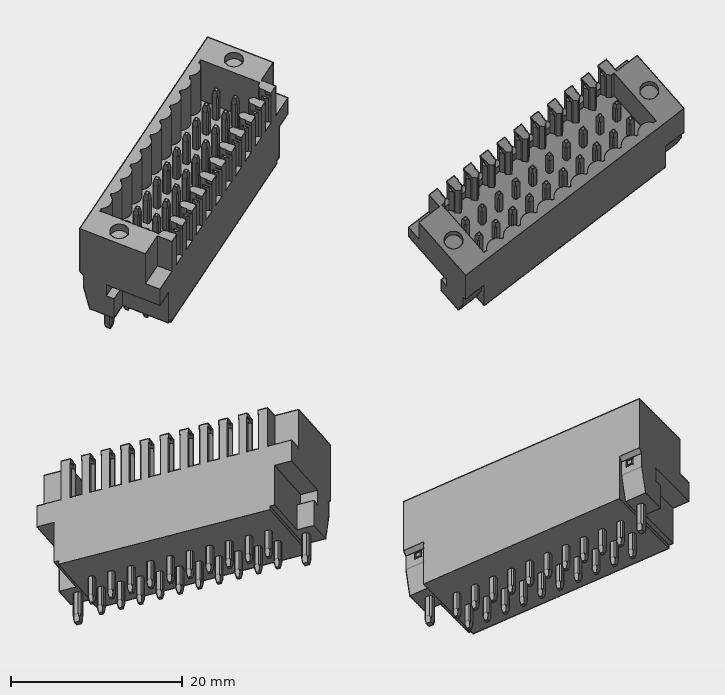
import cadquery as cq


length = 32.95
width = 10.5
height = 14.2
end_underside = 0.5
end_length = 2.8

pin_count = 10
pitch = 2.55
row_places = (3.7, 6.2)
pin_size = 0.82
pin_chamfer = 0.15
pin_tip_size = 0.4
tip_length = 1.0
tail_length = 3.5
pin_top = 12.0

clip_size = 1.0
clip_chamfer = 0.23
clip_tip_size = 0.6
clip_inset = 1.7
clip_x = 3.0
clip_z = 5.5

wall = 0.9
cavity_end_inset = 3.5
cavity_floor = 7.0
slotted_wall_x = 8.6
scallop_radius = 1.32
scallop_depth = 0.65

sill_x = 9.75
sill_z = 8.85
slot_half = 0.75
slot_mouth_half = 1.2
slot_mouth_depth = 0.4
ridge_half = 0.43
ridge_start_x = 9.25
ridge_end_x = 10.15
ridge_top = height - 1.12
lip_half = 0.7
lip_height = 0.55

hole_x = 4.32
hole_diameter = 2.2
hole_depth = 1.12
corner_notch_length = 3.1
leg_face_x = 0.5
leg_chamfer_top = 6.55
leg_taper_top = 4.0
leg_toe_x = 1.32
recess_depth = 2.2
recess_x = 3.5
recess_top = 5.95
recess_step_x = 4.5
recess_step_z = 3.95

pin_ys = [(i - (pin_count - 1) / 2) * pitch for i in range(pin_count)]
clip_y = length / 2 - clip_inset
end_signs = (-1, 1)


def span_box(x_range, y_range, z_range):
    """A box that fills the given ranges."""
    sizes = [high - low for low, high in (x_range, y_range, z_range)]
    corner = (x_range[0], y_range[0], z_range[0])
    return cq.Workplane("XY").box(*sizes, centered=False).translate(corner)


def end_prism(points, depth, sign):
    """An XZ outline extruded inwards from one end face."""
    prism = cq.Workplane("XZ").polyline(points).close().extrude(depth)
    start = length / 2 if sign > 0 else depth - length / 2
    return prism.translate((0, start, 0))


def copies(shape, points):
    """Copies of a shape, moved to the given XY points."""
    return cq.Workplane("XY").pushPoints(points).eachpoint(lambda place: shape.val().moved(place))


def tip(size, tip_size):
    """A square pyramid frustum that narrows upwards from Z = 0."""
    return cq.Workplane("XY").rect(size, size).workplane(offset=tip_length).rect(tip_size, tip_size).loft()


def wire(size, chamfer, tip_size, total):
    """Square wire with chamfered corners and a pointed upper end, standing on Z = 0."""
    shaft_length = total - tip_length
    shaft = cq.Workplane("XY").rect(size, size).extrude(shaft_length)
    pointed = shaft.union(tip(size, tip_size).translate((0, 0, shaft_length)))
    envelope = cq.Workplane("XY").rect(size, size).extrude(total).edges("|Z").chamfer(chamfer)
    return pointed.intersect(envelope)


def make_scallops():
    """Rounded ribs along the plain side wall, one facing each pin."""
    centre_x = wall + scallop_depth - scallop_radius
    ribs = (
        cq.Workplane("XY")
        .pushPoints([(centre_x, y) for y in pin_ys])
        .circle(scallop_radius)
        .extrude(height)
    )
    half_length = length / 2 - cavity_end_inset
    return ribs.intersect(span_box((wall, width), (-half_length, half_length), (0, height)))


def slot_layer(half_outline, bottom, top):
    """A slice of a slot, from the half outline on its +Y side."""
    mirrored = [(x, -y) for x, y in reversed(half_outline)]
    outline = cq.Workplane("XY").workplane(offset=bottom).polyline(half_outline + mirrored).close()
    return outline.extrude(top - bottom)


def make_slot():
    """One slot: a closed foot, a ridged stretch, a plain stretch and lips at the top."""
    mouth = [
        (slotted_wall_x, slot_mouth_half),
        (slotted_wall_x + slot_mouth_depth, slot_half),
    ]
    ridge_rise = [(ridge_start_x, slot_half), (sill_x, ridge_half)]
    ridge_fall = [(ridge_end_x, slot_half)]
    outer = [(width, slot_half)]
    lips = [(sill_x, slot_half), (sill_x, lip_half), (width, lip_half)]
    lip_bottom = height - lip_height

    slot = slot_layer(mouth + ridge_rise, cavity_floor, sill_z)
    slot = slot.union(slot_layer(mouth + ridge_rise + ridge_fall + outer, sill_z, ridge_top))
    slot = slot.union(slot_layer(mouth + outer, ridge_top, lip_bottom))
    return slot.union(slot_layer(mouth + lips, lip_bottom, height))


def cut_cavity(body):
    half_length = length / 2 - cavity_end_inset
    cavity = span_box((wall, slotted_wall_x), (-half_length, half_length), (cavity_floor, height))
    body = body.cut(cavity.cut(make_scallops()))
    return body.cut(copies(make_slot(), [(0, y) for y in pin_ys]))


def cut_end(body, sign):
    """Shape one housing end: leg, side recess, corner notch and screw hole."""
    under_leg = [
        (0, 0),
        (0, leg_chamfer_top),
        (leg_face_x, leg_chamfer_top - leg_face_x),
        (leg_face_x, leg_taper_top),
        (leg_toe_x, end_underside),
        (width, end_underside),
        (width, 0),
    ]
    recess = [
        (recess_x, recess_top),
        (recess_x, recess_step_z),
        (recess_step_x, recess_step_z),
        (recess_step_x, 0),
        (width, 0),
        (width, recess_top),
    ]
    notch = [(slotted_wall_x, sill_z), (slotted_wall_x, height), (width, height), (width, sill_z)]
    body = body.cut(end_prism(under_leg, end_length, sign))
    body = body.cut(end_prism(recess, recess_depth, sign))
    body = body.cut(end_prism(notch, corner_notch_length, sign))
    hole = cq.Workplane("XY").circle(hole_diameter / 2).extrude(hole_depth)
    return body.cut(hole.translate((hole_x, sign * clip_y, height - hole_depth)))


def add_pins(body):
    """Straight pins, pointed at both ends."""
    upper = wire(pin_size, pin_chamfer, pin_tip_size, pin_top)
    tail = wire(pin_size, pin_chamfer, pin_tip_size, tail_length).rotate((0, 0, 0), (1, 0, 0), 180)
    pin = upper.union(tail)
    return body.union(copies(pin, [(x, y) for x in row_places for y in pin_ys]))


def add_clip(body, sign):
    """A solder clip: its tail hangs below the leg, its other tip shows in a square hole in the leg."""
    y = sign * clip_y
    drop = clip_z + tail_length
    tail = wire(clip_size, clip_chamfer, clip_tip_size, drop).rotate((0, 0, 0), (1, 0, 0), 180)
    body = body.union(tail.translate((clip_x, y, clip_z)))

    hole = cq.Workplane("XY").rect(clip_size, clip_size).extrude(tip_length)
    gap = hole.cut(tip(clip_size, clip_tip_size)).rotate((0, 0, 0), (0, 1, 0), -90)
    return body.cut(gap.translate((leg_face_x + tip_length, y, clip_z)))


body = span_box((0, width), (-length / 2, length / 2), (0, height))
body = cut_cavity(body)
for end_sign in end_signs:
    body = cut_end(body, end_sign)
    body = add_clip(body, end_sign)
result = add_pins(body)